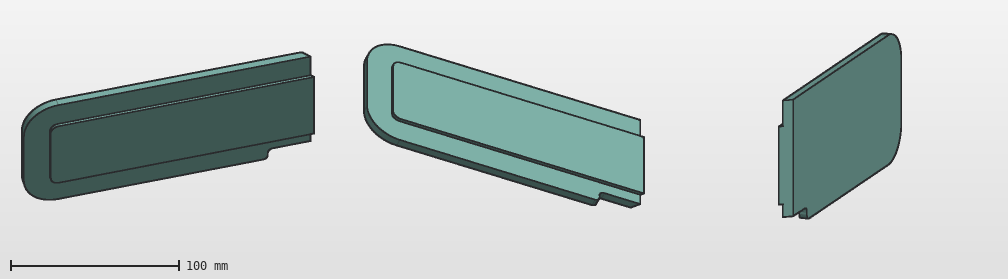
import cadquery as cq
import math

length = 178.0
height = 80.0
plate_thickness = 5.0
corner_radius = 21.0

pad_thickness = 2.0
pad_corner_radius = 10.1 / 2
pad_inset = corner_radius - pad_corner_radius

bevel_angle = 40.0
total_thickness = plate_thickness + pad_thickness
bevel_depth = total_thickness * math.tan(math.radians(bevel_angle))

notch_length = 28.0
notch_height = 8.0
notch_radius = 3.0


def rounded_end_slab(inset, radius, x_start, thickness):
    """Slab with two rounded corners at the -Y end, running to the +Y end."""
    slab_length = length - inset
    slab_height = height - 2 * inset
    return (
        cq.Workplane("XY")
        .box(thickness, slab_length, slab_height, centered=False)
        .edges("|X and <Y")
        .fillet(radius)
        .translate((x_start, inset, inset))
    )


def cut_notch(plate):
    """Remove the lower step and round its inner and outer corners."""
    notch_wall = length - notch_length
    notch = cq.Workplane("XY").box(plate_thickness, notch_length, notch_height, centered=False)
    notched = plate.cut(notch.translate((0, notch_wall, 0)))
    for corner_z in (0, notch_height):
        corner = (plate_thickness / 2, notch_wall, corner_z)
        notched = notched.edges(cq.NearestToPointSelector(corner)).fillet(notch_radius)
    return notched


def bevel_wedge():
    """Triangular prism over the full height that slopes the +Y end."""
    return (
        cq.Workplane("XY")
        .moveTo(0, length - bevel_depth)
        .lineTo(total_thickness, length)
        .lineTo(0, length)
        .close()
        .extrude(height)
    )


plate = cut_notch(rounded_end_slab(0, corner_radius, 0, plate_thickness))
pad = rounded_end_slab(pad_inset, pad_corner_radius, plate_thickness, pad_thickness)

result = plate.union(pad).cut(bevel_wedge())